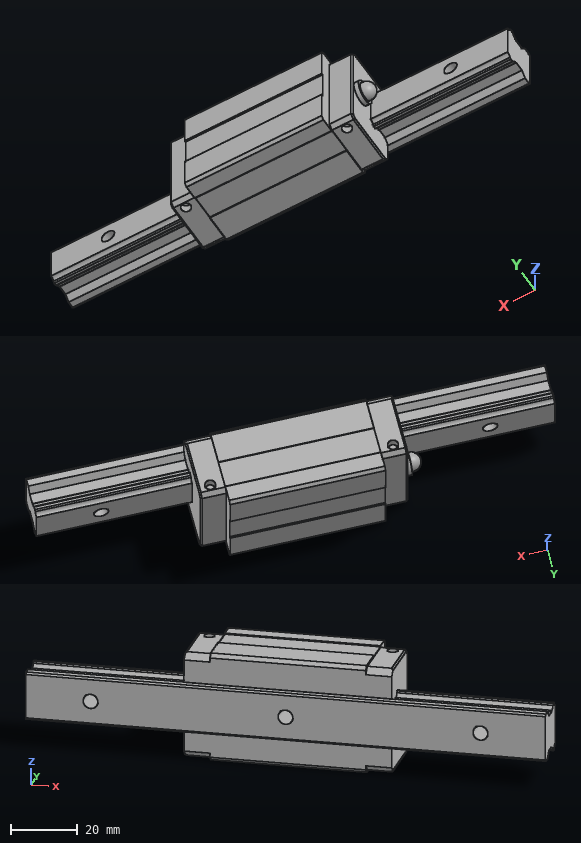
import cadquery as cq
import math


rail_length = 160.0
rail_width = 15.0
rail_height = 13.0
base_chamfer = 0.6
foot_height = 2.9
web_width = 11.2
web_bottom = 4.7
web_top = 8.0
head_flat = 0.9
head_chamfer = 0.45
race_radius = 1.5
hole_pitch = 60.0
hole_count = 3
hole_diameter = 4.5

block_length = 48.0
block_width = 34.0
block_bottom = 3.0
block_top = 28.0
block_top_chamfer = 1.0
block_bottom_chamfer = 1.2
side_recess_bottom = 13.6
side_recess_top = 22.1
side_recess_depth = 0.35
top_relief_width = 10.6
top_relief_depth = 0.5

carriage_length = 64.0
cap_width = 33.0
cap_top = 23.5
cap_top_chamfer = 1.4
cap_bottom_chamfer = 2.0
cap_end_bevel = 0.5
screw_hole_diameter = 3.2
screw_hole_depth = 3.0
screw_hole_height = 20.3
screw_hole_spacing = 56.4

nipple_height = 18.7
flange_diameter = 7.8
flange_thickness = 1.6
dome_radius = 3.0
dome_neck = 0.6


def extrude_along_x(profile, length):
    """Extrude a YZ profile by the given length, centred on X = 0."""
    return profile.extrude(length / 2, both=True)


def rail_profile():
    """Closed YZ outline of the rail."""
    half = rail_width / 2
    half_web = web_width / 2
    shoulder = half - head_chamfer
    reach = math.sqrt(race_radius**2 - head_chamfer**2)
    upper_race_y = rail_height
    upper_shoulder = upper_race_y - reach
    tip_top = upper_shoulder - head_chamfer
    tip_bottom = tip_top - head_flat
    lower_shoulder = tip_bottom - head_chamfer
    lower_race_y = lower_shoulder - reach
    race_bottom = half - race_radius
    diagonal = race_radius * math.sqrt(0.5)

    return (
        cq.Workplane("YZ")
        .moveTo(0, -(half - base_chamfer))
        .lineTo(0, half - base_chamfer)
        .lineTo(base_chamfer, half)
        .lineTo(foot_height, half)
        .lineTo(web_bottom, half_web)
        .lineTo(web_top, half_web)
        .lineTo(lower_race_y, race_bottom)
        .threePointArc((lower_race_y + diagonal, half - diagonal), (lower_shoulder, shoulder))
        .lineTo(tip_bottom, half)
        .lineTo(tip_top, half)
        .lineTo(upper_shoulder, shoulder)
        .threePointArc((upper_race_y - diagonal, half - diagonal), (rail_height, race_bottom))
        .lineTo(rail_height, -race_bottom)
        .threePointArc((upper_race_y - diagonal, diagonal - half), (upper_shoulder, -shoulder))
        .lineTo(tip_top, -half)
        .lineTo(tip_bottom, -half)
        .lineTo(lower_shoulder, -shoulder)
        .threePointArc((lower_race_y + diagonal, diagonal - half), (lower_race_y, -race_bottom))
        .lineTo(web_top, -half_web)
        .lineTo(web_bottom, -half_web)
        .lineTo(foot_height, -half)
        .lineTo(base_chamfer, -half)
        .close()
    )


def make_rail():
    rail = extrude_along_x(rail_profile(), rail_length)
    holes = (
        cq.Workplane("XZ")
        .rarray(hole_pitch, 1, hole_count, 1)
        .circle(hole_diameter / 2)
        .extrude(-rail_height)
    )
    return rail.cut(holes)


def chamfered_section(width, bottom, top, bottom_chamfer, top_chamfer):
    """Rectangular YZ outline whose lower and upper corners are chamfered."""
    half = width / 2
    return (
        cq.Workplane("YZ")
        .moveTo(bottom, -(half - bottom_chamfer))
        .lineTo(bottom, half - bottom_chamfer)
        .lineTo(bottom + bottom_chamfer, half)
        .lineTo(top - top_chamfer, half)
        .lineTo(top, half - top_chamfer)
        .lineTo(top, -(half - top_chamfer))
        .lineTo(top - top_chamfer, -half)
        .lineTo(bottom + bottom_chamfer, -half)
        .close()
    )


def make_block():
    """Middle of the carriage, with shallow reliefs on its sides and top."""
    section = chamfered_section(
        block_width, block_bottom, block_top, block_bottom_chamfer, block_top_chamfer
    )
    block = extrude_along_x(section, block_length)
    recess_height = side_recess_top - side_recess_bottom
    recess_middle = (side_recess_top + side_recess_bottom) / 2
    for side in (-1, 1):
        recess = cq.Workplane("XY").box(block_length, recess_height, 2 * side_recess_depth)
        block = block.cut(recess.translate((0, recess_middle, side * block_width / 2)))
    relief = cq.Workplane("XY").box(block_length, 2 * top_relief_depth, top_relief_width)
    return block.cut(relief.translate((0, block_top, 0)))


def make_cap_bar():
    """Both end caps as one bar that runs through the block."""
    bar = extrude_along_x(
        chamfered_section(cap_width, block_bottom, cap_top, cap_bottom_chamfer, cap_top_chamfer),
        carriage_length,
    )
    upper_end_edges = cq.selectors.BoxSelector(
        (-carriage_length, block_bottom + cap_bottom_chamfer, -cap_width),
        (carriage_length, 2 * cap_top, cap_width),
    )
    return bar.faces("<X or >X").edges(upper_end_edges).chamfer(cap_end_bevel)


def make_carriage():
    carriage = make_block().union(make_cap_bar())
    carriage = carriage.cut(extrude_along_x(rail_profile(), carriage_length))
    for end in (-1, 1):
        for side in (-1, 1):
            mouth = (end * screw_hole_spacing / 2, screw_hole_height, side * cap_width / 2)
            screw_hole = (
                cq.Workplane("XY", origin=mouth)
                .circle(screw_hole_diameter / 2)
                .extrude(-side * screw_hole_depth)
            )
            carriage = carriage.cut(screw_hole)
    return carriage


def make_nipple():
    """Flange and dome turned about an X axis, seated on the -X end cap."""
    dome_start = flange_thickness + dome_neck
    diagonal = dome_radius * math.sqrt(0.5)
    profile = (
        cq.Workplane("XY")
        .moveTo(0, 0)
        .lineTo(0, flange_diameter / 2)
        .lineTo(-flange_thickness, flange_diameter / 2)
        .lineTo(-flange_thickness, dome_radius)
        .lineTo(-dome_start, dome_radius)
        .threePointArc((-dome_start - diagonal, diagonal), (-dome_start - dome_radius, 0))
        .close()
    )
    nipple = profile.revolve(360, (0, 0, 0), (1, 0, 0))
    return nipple.translate((-carriage_length / 2, nipple_height, 0))


rail = make_rail()
carriage = make_carriage()
nipple = make_nipple()

result = cq.Compound.makeCompound([rail.solids().val(), carriage.solids().val(), nipple.val()])